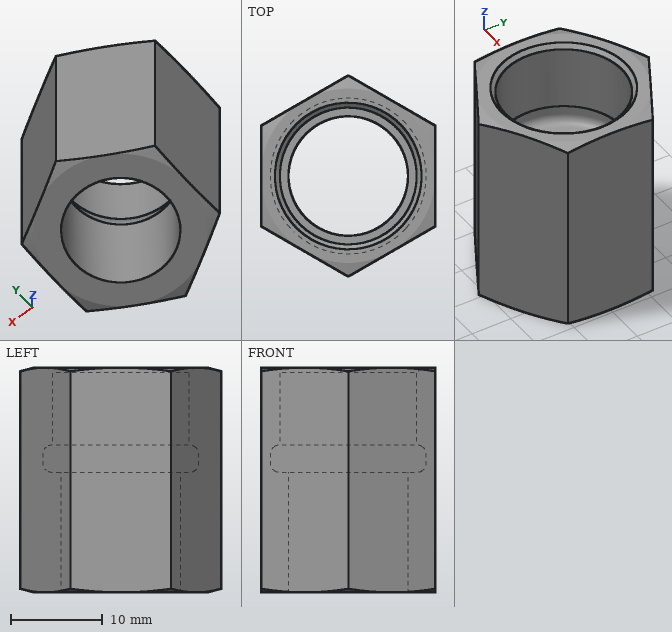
import cadquery as cq
import math

height = 24.5
across_flats = 19.0
across_corners = across_flats / math.cos(math.radians(30))
corner_chamfer_angle = 15.0

bore_radius = 14.92 / 2
through_radius = 13.0 / 2
mouth_chamfer = 0.55
groove_radius = 17.0 / 2
groove_start = 8.43
groove_width = 3.0
groove_fillet = 1.0

shoulder_depth = groove_start + groove_width


def revolve_profile(points):
    """Revolve a closed (radius, height) outline about the Z axis."""
    return cq.Workplane("XZ").polyline(points).close().revolve(360, (0, 0), (0, 1))


def hex_body():
    """Hexagon with corners on Y, its corners bevelled at both ends."""
    hexagon = cq.Workplane("XY").polygon(6, across_corners).extrude(height)
    hexagon = hexagon.rotate((0, 0, 0), (0, 0, 1), 90)
    flat_radius = across_flats / 2
    corner_radius = across_corners / 2
    drop = (corner_radius - flat_radius) * math.tan(math.radians(corner_chamfer_angle))
    envelope = revolve_profile([
        (0, 0),
        (flat_radius, 0),
        (corner_radius, drop),
        (corner_radius, height - drop),
        (flat_radius, height),
        (0, height),
    ])
    return hexagon.intersect(envelope)


def stepped_bore():
    """Cutter for the chamfered bore and the smaller through hole."""
    return revolve_profile([
        (0, 0),
        (through_radius, 0),
        (through_radius, height - shoulder_depth),
        (bore_radius, height - shoulder_depth),
        (bore_radius, height - mouth_chamfer),
        (bore_radius + mouth_chamfer, height),
        (0, height),
    ])


def relief_groove():
    """Cutter for the groove at the bore's end, rounded at its top and floor."""
    groove = cq.Workplane("XY").workplane(offset=height - shoulder_depth)
    groove = groove.circle(groove_radius).extrude(groove_width)
    return groove.faces("|Z").edges().fillet(groove_fillet)


result = hex_body().cut(stepped_bore()).cut(relief_groove())